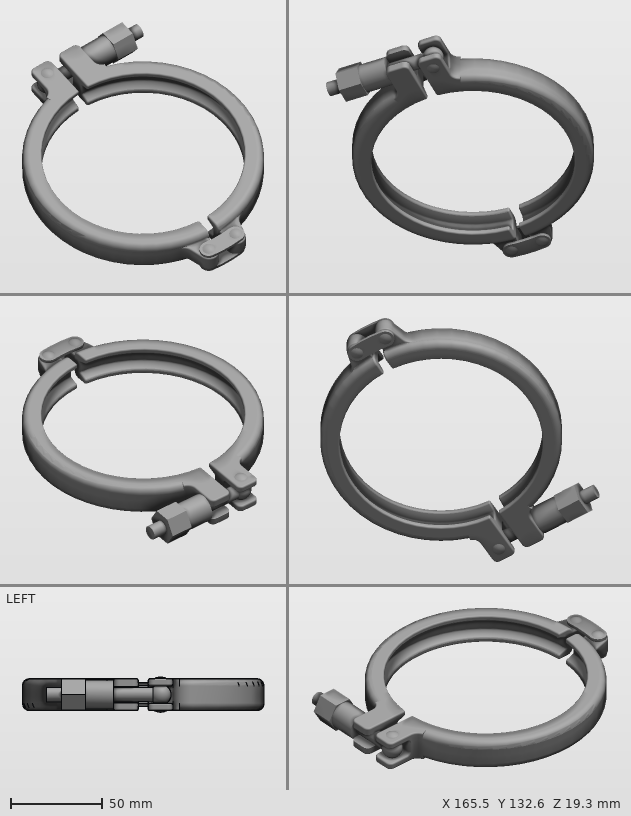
import cadquery as cq
import math

outer_radius = 66.3
inner_radius = 55.8
height = 17.5
outer_round = 4.0
edge_round = 1.0
tolerance = 0.02
gap = 5.5

groove_mouth = 11.4
groove_radius = 61.2
groove_angle = 20

lug_left = -83.9
lug_side = 16.2
lug_corner = 3.1
lug_blend = 5.3
rod_slot_height = 9.0
ball_slot_height = 9.6
slot_end = -69.2
slot_corner = 2.0
lug_root = 59.5

hinge_x = 73.8
hinge_y = 9.1
hinge_lug_height = height - 2 * outer_round
hinge_lug_radius = 5.6
hinge_lug_slope = 16
hinge_blend = 6.6
hinge_lug_root = 63.7
link_radius = 5.0
link_thickness = 1.8

pin_radius = 3.5
dome_height = 0.91

bolt_x = -76.3
bolt_pivot_y = -(gap / 2 + lug_side) / 2
bolt_radius = 4.0
bolt_tip_y = 53.0
ball_radius = 5.8
collar_radius = 8.0
collar_length = 15.5
hex_corner_diameter = 19.5
hex_length = 13.0

half_gap = gap / 2
half_height = height / 2
groove_floor_half = groove_mouth / 2 - (groove_radius - inner_radius) * math.tan(math.radians(groove_angle))
dome_sphere_radius = (pin_radius**2 + dome_height**2) / (2 * dome_height)


def ring():
    """Full ring with rounded outer corners."""
    blank = cq.Workplane("XY").circle(outer_radius).extrude(half_height, both=True)
    return blank.edges("%CIRCLE").fillet(outer_round).cut(bore())


def bore():
    """Bore of the ring."""
    return cq.Workplane("XY").circle(inner_radius).extrude(height, both=True)


def groove():
    """V-groove cutter, tapering from the bore to the groove floor."""
    mouth = groove_mouth / 2
    cutter = (
        cq.Workplane("XZ")
        .polyline([(0, -mouth), (inner_radius, -mouth), (groove_radius, -groove_floor_half),
                   (groove_radius, groove_floor_half), (inner_radius, mouth), (0, mouth)])
        .close()
        .revolve(360, (0, 0, 0), (0, 1, 0))
    )
    floor_edges = cq.selectors.RadiusNthSelector(-1)
    return cutter.edges(floor_edges).fillet(edge_round)


def bolt_lug():
    """Full-height lug on the -X side, blended into the outside of the ring."""
    blend_y = lug_side + lug_blend
    blend_x = -math.sqrt((outer_radius + lug_blend) ** 2 - blend_y**2)
    end_angle = math.atan2(-blend_y, -blend_x)
    mid_angle = (end_angle - math.pi / 2) / 2
    blend_mid = (blend_x + lug_blend * math.cos(mid_angle), blend_y + lug_blend * math.sin(mid_angle))
    blend_end = (blend_x + lug_blend * math.cos(end_angle), blend_y + lug_blend * math.sin(end_angle))
    inset = (outer_radius - outer_round) / outer_radius
    lug = (
        cq.Workplane("XY")
        .moveTo(-lug_root, half_gap)
        .lineTo(lug_left, half_gap)
        .lineTo(lug_left, lug_side)
        .lineTo(blend_x, lug_side)
        .threePointArc(blend_mid, blend_end)
        .lineTo(blend_end[0] * inset, blend_end[1] * inset)
        .close()
        .extrude(half_height, both=True)
    )
    return lug.edges("|Z and <X").fillet(lug_corner)


def bolt_slot(slot_height):
    """Slot cutter that splits the bolt lug into a fork, open towards -X."""
    depth = 2 * (slot_end - lug_left)
    slot = cq.Workplane("XY").box(depth, 4 * lug_side, slot_height)
    slot = slot.edges("|Y and >X").fillet(slot_corner)
    return slot.translate((slot_end - depth / 2, 0, 0))


def hinge_lug_outline():
    """Plan outline of the lug around a hinge pin, blended into the outside of the ring."""
    slope = math.radians(hinge_lug_slope)
    normal_x = math.sin(slope)
    normal_y = math.cos(slope)
    offset = hinge_x * normal_x + hinge_y * normal_y + hinge_lug_radius + hinge_blend
    along = math.sqrt((outer_radius + hinge_blend) ** 2 - offset**2)
    blend_x = offset * normal_x + along * normal_y
    blend_y = offset * normal_y - along * normal_x
    side_start = (hinge_x + hinge_lug_radius * normal_x, hinge_y + hinge_lug_radius * normal_y)
    side_end = (blend_x - hinge_blend * normal_x, blend_y - hinge_blend * normal_y)
    start_angle = math.atan2(-normal_y, -normal_x)
    end_angle = math.atan2(-blend_y, -blend_x)
    mid_angle = (start_angle + end_angle) / 2
    blend_mid = (blend_x + hinge_blend * math.cos(mid_angle), blend_y + hinge_blend * math.sin(mid_angle))
    blend_end = (blend_x + hinge_blend * math.cos(end_angle), blend_y + hinge_blend * math.sin(end_angle))
    round_angle = -slope / 2
    round_mid = (hinge_x + hinge_lug_radius * math.cos(round_angle),
                 hinge_y + hinge_lug_radius * math.sin(round_angle))
    gap_side = hinge_y - hinge_lug_radius
    inset = hinge_lug_root / outer_radius
    return (
        cq.Workplane("XY")
        .moveTo(hinge_lug_root, gap_side)
        .lineTo(hinge_x, gap_side)
        .threePointArc(round_mid, side_start)
        .lineTo(*side_end)
        .threePointArc(blend_mid, blend_end)
        .lineTo(blend_end[0] * inset, blend_end[1] * inset)
        .close()
    )


def hinge_root_fillet():
    """Concave fillets between the flat lug faces and the rounded ring corners."""
    face_z = hinge_lug_height / 2
    ring_round_radius = outer_radius - outer_round
    reach = outer_round + edge_round
    center_radius = ring_round_radius + math.sqrt(reach**2 - edge_round**2)
    center_z = face_z + edge_round
    angle = math.asin(edge_round / reach)
    touch = (ring_round_radius + outer_round * math.cos(angle), face_z + outer_round * math.sin(angle))
    mid_angle = (angle + math.pi / 2) / 2
    mid = (center_radius - edge_round * math.cos(mid_angle), center_z - edge_round * math.sin(mid_angle))
    upper = (
        cq.Workplane("XZ")
        .moveTo(ring_round_radius, face_z)
        .lineTo(center_radius, face_z)
        .threePointArc(mid, touch)
        .lineTo(ring_round_radius, touch[1])
        .close()
        .revolve(360, (0, 0, 0), (0, 1, 0))
    )
    upper = upper.intersect(hinge_lug_outline().offset2D(-edge_round).extrude(height))
    return upper.union(upper.mirror("XY"))


def hinge_lug():
    """Hinge lug with rounded rims and its root fillets."""
    lug = hinge_lug_outline().extrude(hinge_lug_height / 2, both=True)
    outside = cq.selectors.BoxSelector((outer_radius, half_gap, -height), (2 * outer_radius, outer_radius, height))
    rims = lug.faces("<Z or >Z").edges(outside)
    return rims.fillet(edge_round).union(hinge_root_fillet())


def is_sharp(edge):
    """Whether an edge of the raw jaw is one of the exposed corners that get an edge round."""
    middle = edge.positionAt(0.5)
    radius = math.hypot(middle.x, middle.y)
    on_flat = abs(middle.z) > half_height - tolerance
    on_gap_face = middle.y < half_gap + tolerance
    on_groove_mouth = radius < inner_radius + tolerance
    in_slot_opening = (
        middle.x < slot_end + tolerance
        and abs(middle.z) < ball_slot_height / 2 + tolerance
        and (middle.y > lug_side - lug_corner or middle.x < lug_left + lug_corner)
    )
    in_wall = inner_radius + tolerance < radius < outer_radius - tolerance and not on_gap_face
    at_corner = abs(middle.x - lug_left - lug_corner) < tolerance
    return (on_flat or on_gap_face or on_groove_mouth or in_slot_opening) and not in_wall and not at_corner


def raw_jaw():
    """Sharp-edged jaw on the +Y side, with its bolt lug and groove but no slot."""
    far_side = cq.Workplane("XY").box(4 * outer_radius, 2 * outer_radius, 2 * height)
    far_side = far_side.translate((0, half_gap - outer_radius, 0))
    return ring().cut(far_side).union(bolt_lug()).cut(groove())


def round_edges(raw):
    """Put the edge round on all exposed corners of a raw jaw."""
    sharp_edges = [edge for edge in raw.edges().vals() if is_sharp(edge)]
    return raw.newObject(sharp_edges).fillet(edge_round)


def domed_pin(head_z):
    """Pin along Z through the origin whose domed heads rise from Z = +-head_z."""
    top = head_z + dome_height
    return (
        cq.Workplane("XZ")
        .moveTo(0, -top)
        .threePointArc(dome_mid(-head_z), (pin_radius, -head_z))
        .lineTo(pin_radius, head_z)
        .threePointArc(dome_mid(head_z), (0, top))
        .close()
        .revolve(360, (0, 0, 0), (0, 1, 0))
    )


def dome_mid(head_z):
    """Point halfway along the dome arc above (or below) a head plane."""
    half_angle = math.asin(pin_radius / dome_sphere_radius) / 2
    rise = dome_height - dome_sphere_radius * (1 - math.cos(half_angle))
    return (dome_sphere_radius * math.sin(half_angle), head_z + math.copysign(rise, head_z))


def swing_bolt():
    """Ball-ended bolt with its pivot pin and the collared nut on it."""
    ball = cq.Workplane("XY").sphere(ball_radius)
    ball = ball.intersect(cq.Workplane("XY").box(height, height, ball_slot_height))
    ball = ball.translate((bolt_x, bolt_pivot_y, 0))
    pin = domed_pin(half_height).translate((bolt_x, bolt_pivot_y, 0))
    rod = cq.Workplane("XZ", origin=(bolt_x, bolt_tip_y, 0)).circle(bolt_radius).extrude(bolt_tip_y - bolt_pivot_y)
    collar_end = lug_side + collar_length
    collar = cq.Workplane("XZ", origin=(bolt_x, collar_end, 0)).circle(collar_radius).extrude(collar_length)
    hexagon = (
        cq.Workplane("XZ", origin=(bolt_x, collar_end + hex_length, 0))
        .polygon(6, hex_corner_diameter)
        .extrude(hex_length)
    )
    return ball.union(pin).union(rod).union(collar).union(hexagon)


def hinge_pins():
    """Both hinge pins."""
    pin = domed_pin(hinge_lug_height / 2 + link_thickness)
    return pin.translate((hinge_x, hinge_y, 0)).union(pin.translate((hinge_x, -hinge_y, 0)))


def hinge_link():
    """Two curved plates, above and below the hinge lugs, joined by the hinge pins."""
    pivot_radius = math.hypot(hinge_x, hinge_y)
    outer = pivot_radius + link_radius
    inner = pivot_radius - link_radius
    cos_end = hinge_x / pivot_radius
    sin_end = hinge_y / pivot_radius
    end_cap = (hinge_x - link_radius * sin_end, hinge_y + link_radius * cos_end)
    plate = (
        cq.Workplane("XY", origin=(0, 0, hinge_lug_height / 2))
        .moveTo(outer * cos_end, -outer * sin_end)
        .threePointArc((outer, 0), (outer * cos_end, outer * sin_end))
        .threePointArc(end_cap, (inner * cos_end, inner * sin_end))
        .threePointArc((inner, 0), (inner * cos_end, -inner * sin_end))
        .threePointArc((end_cap[0], -end_cap[1]), (outer * cos_end, -outer * sin_end))
        .close()
        .extrude(link_thickness)
    )
    return hinge_pins().union(plate).union(plate.mirror("XY"))


def upper_jaw_body(link):
    """Jaw on the +Y side; its slot edges stay sharp."""
    jaw = round_edges(raw_jaw()).cut(bolt_slot(rod_slot_height))
    return jaw.union(hinge_lug()).cut(link)


def lower_jaw_body(link):
    """Jaw on the -Y side, with rounded slot edges and the swing bolt fixed in its fork."""
    jaw = round_edges(raw_jaw().cut(bolt_slot(ball_slot_height)))
    return jaw.union(hinge_lug()).mirror("XZ").cut(link).union(swing_bolt())


link = hinge_link()
upper_jaw = upper_jaw_body(link)
lower_jaw = lower_jaw_body(link)

result = cq.Compound.makeCompound([upper_jaw.val(), lower_jaw.val(), link.val()])